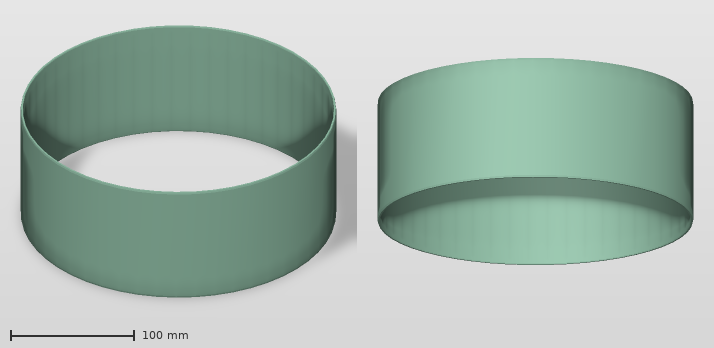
import cadquery as cq

outer_diameter = 255.0
height = 100.0
wall = 2.0

outer_chamfer_width = 0.38
outer_chamfer_length = 1.5
inner_chamfer_width = 0.3
inner_chamfer_length = 0.8

outer_radius = outer_diameter / 2
inner_radius = outer_radius - wall
rim_outer_radius = outer_radius - outer_chamfer_width
rim_inner_radius = inner_radius + inner_chamfer_width

wall_section = (
    cq.Workplane("XZ")
    .moveTo(rim_outer_radius, 0)
    .lineTo(outer_radius, outer_chamfer_length)
    .lineTo(outer_radius, height - outer_chamfer_length)
    .lineTo(rim_outer_radius, height)
    .lineTo(rim_inner_radius, height)
    .lineTo(inner_radius, height - inner_chamfer_length)
    .lineTo(inner_radius, inner_chamfer_length)
    .lineTo(rim_inner_radius, 0)
    .close()
)

result = wall_section.revolve(360, (0, 0, 0), (0, 1, 0))